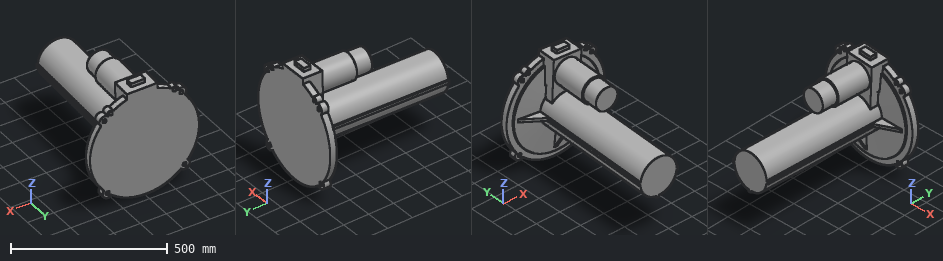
import cadquery as cq

ROLL = 2.4
YAW = 2.4

flange_radius = 203.0
flange_thickness = 26.5
bolt_hole_radius = 7.0
main_lug_radius = 19.0
main_lug_offset = 143.0
small_lug_radius = 13.0
small_lug_x = 119.0
small_lug_z = 163.0

cover_radius = 177.5
cover_rim_depth = 33.0
cover_center_depth = 40.0

tube_radius = 75.0
tube_depth = 549.0
rib_width = 11.0
rib_radius = 80.0
gusset_radius = 164.0
gusset_depth = 83.0
rib_angles = (0, 90, 180)

block_width = 114.0
block_depth = 76.0
block_bottom = 47.5
block_top = 215.0
step_z = 99.5
step_depth = 42.5

button_width = 51.5
button_top = 228.5
button_back = 26.0
button_front = 52.5

motor_z = 151.0
motor_radius = 51.0
motor_depth = 214.0
motor_cap_radius = 45.0
motor_cap_depth = 278.0


def cylinder(radius, depth, x=0, z=0):
    """Cylinder from the back face to the given depth."""
    return cq.Workplane("XZ").center(x, z).circle(radius).extrude(depth)


def box(width, back, front, bottom, top):
    """Box centered on x = 0, between two depths and two heights."""
    size = (width, front - back, top - bottom)
    center = (0, -(back + front) / 2, (bottom + top) / 2)
    return cq.Workplane("XY").box(*size).translate(center)


def make_flange():
    lugs = [
        (side * main_lug_offset, level * main_lug_offset, main_lug_radius)
        for side in (-1, 1)
        for level in (-1, 1)
    ]
    lugs += [(side * small_lug_x, small_lug_z, small_lug_radius) for side in (-1, 1)]
    flange = cylinder(flange_radius, flange_thickness)
    for x, z, radius in lugs:
        flange = flange.union(cylinder(radius, flange_thickness, x, z))
    for x, z, _ in lugs:
        flange = flange.cut(cylinder(bolt_hole_radius, flange_thickness, x, z))
    return flange


def make_cover():
    profile = [
        (0, 0),
        (cover_radius, 0),
        (cover_radius, -cover_rim_depth),
        (tube_radius, -cover_center_depth),
        (0, -cover_center_depth),
    ]
    return cq.Workplane("XY").polyline(profile).close().revolve(360, (0, 0), (0, 1))


def make_rib(angle):
    profile = [
        (0, 0),
        (gusset_radius, 0),
        (gusset_radius, -cover_rim_depth),
        (rib_radius, -gusset_depth),
        (rib_radius, -tube_depth),
        (0, -tube_depth),
    ]
    rib = cq.Workplane("XY").polyline(profile).close().extrude(rib_width / 2, both=True)
    return rib.rotate((0, 0, 0), (0, 1, 0), angle)


def make_gear_block():
    upper = box(block_width, 0, block_depth, step_z, block_top)
    lower = box(block_width, step_depth, block_depth, block_bottom, step_z)
    button = box(button_width, button_back, button_front, step_z, button_top)
    return upper.union(lower).union(button)


def make_motor():
    body = cylinder(motor_radius, motor_depth - step_depth, z=motor_z)
    cap = cylinder(motor_cap_radius, motor_cap_depth - step_depth, z=motor_z)
    return body.union(cap).translate((0, -step_depth, 0))


part = make_flange().union(make_cover()).union(cylinder(tube_radius, tube_depth))
for rib_angle in rib_angles:
    part = part.union(make_rib(rib_angle))
part = part.union(make_gear_block()).union(make_motor())

result = part.rotate((0, 0, 0), (0, 1, 0), ROLL).rotate((0, 0, 0), (0, 0, 1), -YAW)